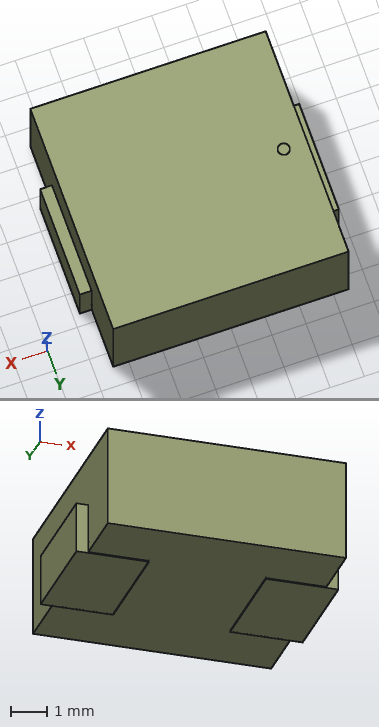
import cadquery as cq

overall_length = 7.59
overall_height = 2.99
housing_side = 6.9
standoff = 0.03

strip_thickness = (overall_length - housing_side) / 2
terminal_width = 3.3
terminal_height = overall_height / 2
foot_length = 2.1

mark_diameter = 0.34
mark_depth = 0.03
mark_x = -2.76


def make_terminal(side):
    """L-shaped terminal; side is -1 for the -X end and +1 for the +X end."""
    outer_x = side * overall_length / 2
    wall_inner_x = side * housing_side / 2
    foot_end_x = side * (overall_length / 2 - foot_length)
    profile = [
        (outer_x, 0),
        (outer_x, terminal_height),
        (wall_inner_x, terminal_height),
        (wall_inner_x, strip_thickness),
        (foot_end_x, strip_thickness),
        (foot_end_x, 0),
    ]
    return cq.Workplane("XZ").polyline(profile).close().extrude(terminal_width / 2, both=True)


def make_mark():
    """Polarity disc with its top face level with the housing top."""
    return (
        cq.Workplane("XY", origin=(mark_x, 0, overall_height - mark_depth))
        .circle(mark_diameter / 2)
        .extrude(mark_depth)
    )


def make_housing(inserts):
    """Square block with a matching recess for every inserted body."""
    block = (
        cq.Workplane("XY", origin=(0, 0, standoff))
        .rect(housing_side, housing_side)
        .extrude(overall_height - standoff)
    )
    for insert in inserts:
        block = block.cut(insert)
    return block


terminals = [make_terminal(side) for side in (-1, 1)]
mark = make_mark()
housing = make_housing([*terminals, mark])

result = cq.Compound.makeCompound(
    [housing.val(), mark.val(), *[terminal.val() for terminal in terminals]]
)